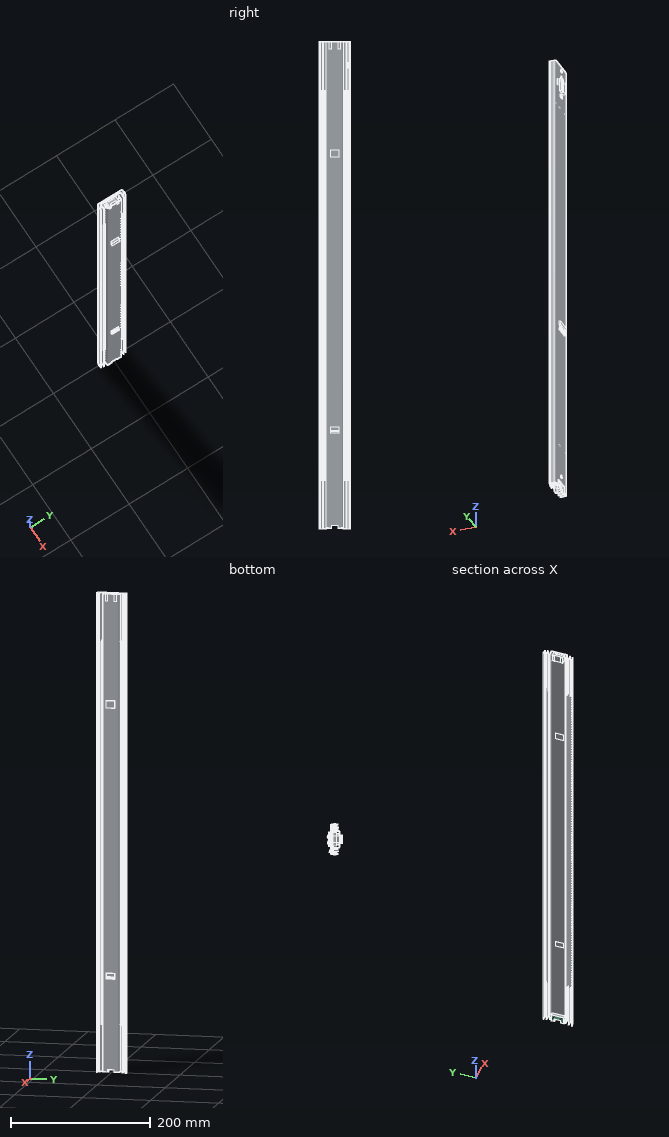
import cadquery as cq


LENGTH = 700.0
WIDTH = 45.0
THICKNESS = 22.0
TOP_Z = LENGTH / 2
BOTTOM_Z = -LENGTH / 2
SHEET = 1.05
CORNER_RADIUS = 1.95

RIB_HEIGHT = 1.0
RIB_HALF_WIDTH = 3.0

OUTER_WEB_X = -6.0
OUTER_LIP_X = 4.55
OUTER_HALF_WIDTH = WIDTH / 2 - RIB_HEIGHT

MIDDLE_WEB_X = -3.85
MIDDLE_LIP_X = 5.5
MIDDLE_HALF_WIDTH = 17.5
MIDDLE_BOTTOM_Z = BOTTOM_Z + 1.0
MIDDLE_SLOT_TOP_Z = BOTTOM_Z + 8.0
MIDDLE_RECESS_WIDTH = 21.0

INNER_WEB_X = SHEET - OUTER_WEB_X
INNER_LIP_X = -1.0
INNER_HALF_WIDTH = 12.5
INNER_BOTTOM_Z = BOTTOM_Z + 1.75

CAGE_SHEET = 0.55
CAGE_RADIUS = 1.05
CAGE_HALF_LENGTH = 280.0
OUTER_CAGE_WEB_X = -4.75
OUTER_CAGE_LIP_X = 3.5
OUTER_CAGE_HALF_WIDTH = 19.5
INNER_CAGE_WEB_X = -2.0
INNER_CAGE_LIP_X = 5.0
INNER_CAGE_HALF_WIDTH = 15.0

UPPER_HOLES = [(343.0, 5.5), (331.0, 6.0)]
HOLE_BORE = 3.5
LOWER_HOLE = (-330.0, 5.5)
WINDOW_WIDTH = 7.0
WINDOW_TOP_Z = 303.0
WINDOW_BOTTOM_Z = 299.0
OUTER_NOTCH_WIDTH = 24.0
OUTER_NOTCH_DEPTH = 10.0

CATCH_BOTTOM_Z = 306.5

NEAR_CATCH_TOP_Z = 323.5
NEAR_CATCH_HIGH_Y = 1.05
NEAR_CATCH_PEAK_Y = -3.15
NEAR_CATCH_LOW_Y = -6.0
NEAR_CATCH_START_X = -8.5
NEAR_CATCH_REACH_X = -THICKNESS / 2
NEAR_CATCH_END_X = -10.0

FAR_CATCH_TOP_Z = 326.0
FAR_CATCH_HIGH_Y = 8.0
FAR_CATCH_PEAK_Y = 6.0
FAR_CATCH_LOW_Y = 2.0
FAR_CATCH_START_X = -9.0
FAR_CATCH_REACH_X = -10.5
FAR_CATCH_END_X = -10.0

CATCH_GROOVE_Z = 321.0
CATCH_GROOVE_HEIGHT = 2.0
CATCH_GROOVE_FLOOR_X = -8.5

BUMP_BOTTOM_Z = 312.0
BUMP_TOP_Z = 320.0
BUMP_HIGH_Y = 19.0
BUMP_LOW_Y = 15.0
BUMP_HEIGHT = 1.75
BUMP_LOW_HEIGHT = 0.55

HOOK_WIDTH = 21.0
HOOK_REACH_X = -9.0
UPPER_HOOK_TOP_Z = -77.0
UPPER_HOOK_HEIGHT = 5.25
UPPER_HOOK_RADIUS = 1.05
UPPER_HOOK_SLOPE = 0.55
LOWER_HOOK_TOP_Z = -85.0
LOWER_HOOK_BOTTOM_Z = -91.0
LOWER_HOOK_TOP_X = -8.0
LOWER_STEM_TOP_Z = -89.0
LOWER_STEM_BOTTOM_Z = -90.0
HOOK_SHEET = 0.85

LUG_WIDTH = 12.5
LUG_REACH_X = THICKNESS / 2
UPPER_LUG_TOP_Z = 194.5
UPPER_LUG_BOTTOM_Z = 184.0
LOWER_LUG_TOP_Z = -204.0
LOWER_LUG_BOTTOM_Z = -212.0
LOWER_LUG_X = 9.0
NIB_TOP_Z = -208.5
NIB_BOTTOM_Z = -210.0

TOP_STOP_HEIGHT = 10.5
TOP_STOP_WIDTH = 16.0
TOP_STOP_HALF_WIDTH = TOP_STOP_WIDTH / 2
TOP_STOP_LEG = 3.5
TOP_STOP_BAR_X = (-1.0, 3.5)
BOTTOM_STOP_HALF_WIDTH = 10.0
BOTTOM_STOP_X = 3.0
BOTTOM_STOP_BOTTOM_Z = BOTTOM_Z + 1.0
BOTTOM_STOP_TOP_Z = BOTTOM_Z + 12.5
END_SLOT_WIDTH = 9.0
END_SLOT_TOP_Z = BOTTOM_Z + 5.0


def block(x_range, y_range, z_range):
    """Box between two limits along each axis."""
    x0, x1 = sorted(x_range)
    y0, y1 = sorted(y_range)
    z0, z1 = sorted(z_range)
    return cq.Workplane("XY").box(x1 - x0, y1 - y0, z1 - z0, centered=False).translate((x0, y0, z0))


def channel(web_x, lip_x, half_width, sheet, radius, z_range):
    """U-channel with its web at web_x and rounded outside and inside bends."""
    inward = 1 if lip_x > web_x else -1
    web_edges = "|Z and <X" if inward > 0 else "|Z and >X"
    outside = block((web_x, lip_x), (-half_width, half_width), z_range).edges(web_edges).fillet(radius)
    inner_half = half_width - sheet
    hollow = block((web_x + inward * sheet, lip_x), (-inner_half, inner_half), z_range)
    hollow = hollow.edges(web_edges).fillet(radius - sheet)
    return outside.cut(hollow)


def race_rib(side, base_y):
    """Shallow circular-segment bar along the rail, bulging outward from the plane at base_y."""
    return (
        cq.Workplane("XY", origin=(0, 0, BOTTOM_Z))
        .moveTo(-RIB_HALF_WIDTH, side * base_y)
        .threePointArc((0, side * (base_y + RIB_HEIGHT)), (RIB_HALF_WIDTH, side * base_y))
        .close()
        .extrude(LENGTH)
    )


def plan_prism(points, z_range):
    """Prism along Z from an outline in X and Y."""
    bottom, top = z_range
    return cq.Workplane("XY", origin=(0, 0, bottom)).polyline(points).close().extrude(top - bottom)


def side_prism(points, width):
    """Prism centred on Y = 0 from an outline in X and Z."""
    return cq.Workplane("XZ").polyline(points).close().extrude(width / 2, both=True)


def mounting_hole(z, diameter):
    """Countersunk cutter through the outer web."""
    mouth = cq.Workplane("YZ", origin=(OUTER_WEB_X, 0, z)).circle(diameter / 2)
    return mouth.workplane(offset=SHEET).circle(HOLE_BORE / 2).loft()


def end_slot(x_range, top_z):
    """Cutter for the slot at the bottom end."""
    return block(x_range, (-END_SLOT_WIDTH / 2, END_SLOT_WIDTH / 2), (BOTTOM_Z, top_z))


def upper_catches():
    """Pair of sloped catches, the +Y one with a grooved hook tip."""
    near = plan_prism(
        [
            (OUTER_WEB_X, NEAR_CATCH_HIGH_Y),
            (NEAR_CATCH_START_X, NEAR_CATCH_HIGH_Y),
            (NEAR_CATCH_REACH_X, NEAR_CATCH_PEAK_Y),
            (NEAR_CATCH_END_X, NEAR_CATCH_LOW_Y),
            (OUTER_WEB_X, NEAR_CATCH_LOW_Y),
        ],
        (CATCH_BOTTOM_Z, NEAR_CATCH_TOP_Z),
    )
    far = plan_prism(
        [
            (OUTER_WEB_X, FAR_CATCH_HIGH_Y),
            (FAR_CATCH_START_X, FAR_CATCH_HIGH_Y),
            (FAR_CATCH_REACH_X, FAR_CATCH_PEAK_Y),
            (FAR_CATCH_END_X, FAR_CATCH_LOW_Y),
            (OUTER_WEB_X, FAR_CATCH_LOW_Y),
        ],
        (CATCH_BOTTOM_Z, FAR_CATCH_TOP_Z),
    )
    groove = block(
        (FAR_CATCH_REACH_X, CATCH_GROOVE_FLOOR_X),
        (FAR_CATCH_LOW_Y, FAR_CATCH_HIGH_Y),
        (CATCH_GROOVE_Z, CATCH_GROOVE_Z + CATCH_GROOVE_HEIGHT),
    )
    return near.union(far.cut(groove))


def edge_bump():
    """Small sloped bump near the +Y edge of the outer web."""
    outline = [
        (OUTER_WEB_X, BUMP_HIGH_Y),
        (OUTER_WEB_X - BUMP_HEIGHT, BUMP_HIGH_Y),
        (OUTER_WEB_X - BUMP_LOW_HEIGHT, BUMP_LOW_Y),
        (OUTER_WEB_X, BUMP_LOW_Y),
    ]
    return plan_prism(outline, (BUMP_BOTTOM_Z, BUMP_TOP_Z))


def middle_hooks():
    """Ledge and L-shaped hook bent out of the outer web below mid-length."""
    ledge = side_prism(
        [
            (OUTER_WEB_X, UPPER_HOOK_TOP_Z),
            (HOOK_REACH_X, UPPER_HOOK_TOP_Z),
            (HOOK_REACH_X + UPPER_HOOK_SLOPE, UPPER_HOOK_TOP_Z - UPPER_HOOK_HEIGHT),
            (OUTER_WEB_X, UPPER_HOOK_TOP_Z - UPPER_HOOK_HEIGHT),
        ],
        HOOK_WIDTH,
    )
    ledge = ledge.edges("|Y and <X").fillet(UPPER_HOOK_RADIUS)
    plate = side_prism(
        [
            (LOWER_HOOK_TOP_X, LOWER_HOOK_TOP_Z),
            (HOOK_REACH_X, LOWER_HOOK_BOTTOM_Z),
            (HOOK_REACH_X + HOOK_SHEET, LOWER_HOOK_BOTTOM_Z),
            (LOWER_HOOK_TOP_X + HOOK_SHEET, LOWER_HOOK_TOP_Z),
        ],
        HOOK_WIDTH,
    )
    stem = block(
        (HOOK_REACH_X + HOOK_SHEET, OUTER_WEB_X),
        (-HOOK_WIDTH / 2, HOOK_WIDTH / 2),
        (LOWER_STEM_BOTTOM_Z, LOWER_STEM_TOP_Z),
    )
    return ledge.union(plate.union(stem))


def make_outer_rail():
    rail = channel(
        OUTER_WEB_X, OUTER_LIP_X, OUTER_HALF_WIDTH, SHEET, CORNER_RADIUS, (BOTTOM_Z, TOP_Z)
    )
    for side in (-1, 1):
        rail = rail.union(race_rib(side, OUTER_HALF_WIDTH))
        rail = rail.cut(race_rib(side, OUTER_HALF_WIDTH - SHEET))
    for z, diameter in UPPER_HOLES + [LOWER_HOLE]:
        rail = rail.cut(mounting_hole(z, diameter))
    web = (OUTER_WEB_X, OUTER_WEB_X + SHEET)
    rail = rail.cut(block(web, (-WINDOW_WIDTH / 2, WINDOW_WIDTH / 2), (WINDOW_BOTTOM_Z, WINDOW_TOP_Z)))
    notch_half = OUTER_NOTCH_WIDTH / 2
    rail = rail.cut(block(web, (-notch_half, notch_half), (BOTTOM_Z, BOTTOM_Z + OUTER_NOTCH_DEPTH)))
    return rail.union(upper_catches()).union(edge_bump()).union(middle_hooks())


def make_middle_rail():
    rail = channel(
        MIDDLE_WEB_X, MIDDLE_LIP_X, MIDDLE_HALF_WIDTH, SHEET, CORNER_RADIUS, (MIDDLE_BOTTOM_Z, TOP_Z)
    )
    web = (MIDDLE_WEB_X, MIDDLE_WEB_X + SHEET)
    recess_half = MIDDLE_RECESS_WIDTH / 2
    rail = rail.cut(block(web, (-recess_half, recess_half), (BOTTOM_Z, END_SLOT_TOP_Z)))
    return rail.cut(end_slot(web, MIDDLE_SLOT_TOP_Z))


def make_inner_rail():
    rail = channel(
        INNER_WEB_X, INNER_LIP_X, INNER_HALF_WIDTH, SHEET, CORNER_RADIUS, (INNER_BOTTOM_Z, TOP_Z)
    )
    rail = rail.cut(end_slot((INNER_WEB_X - SHEET, INNER_WEB_X), END_SLOT_TOP_Z))
    lug_y = (-LUG_WIDTH / 2, LUG_WIDTH / 2)
    upper_lug = block((INNER_WEB_X, LUG_REACH_X), lug_y, (UPPER_LUG_BOTTOM_Z, UPPER_LUG_TOP_Z))
    lower_lug = block((INNER_WEB_X, LOWER_LUG_X), lug_y, (LOWER_LUG_BOTTOM_Z, LOWER_LUG_TOP_Z))
    nib = block((LOWER_LUG_X, LUG_REACH_X), lug_y, (NIB_BOTTOM_Z, NIB_TOP_Z))
    return rail.union(upper_lug).union(lower_lug.union(nib))


def make_cage(web_x, lip_x, half_width):
    z_range = (-CAGE_HALF_LENGTH, CAGE_HALF_LENGTH)
    return channel(web_x, lip_x, half_width, CAGE_SHEET, CAGE_RADIUS, z_range)


def make_top_stop():
    """H-shaped stop between the middle and inner webs, flush with the top end."""
    z_range = (TOP_Z - TOP_STOP_HEIGHT, TOP_Z)
    stop = block(TOP_STOP_BAR_X, (-TOP_STOP_HALF_WIDTH, TOP_STOP_HALF_WIDTH), z_range)
    leg_x = (MIDDLE_WEB_X + SHEET, INNER_WEB_X - SHEET)
    for side in (-1, 1):
        leg_y = (side * (TOP_STOP_HALF_WIDTH - TOP_STOP_LEG), side * TOP_STOP_HALF_WIDTH)
        stop = stop.union(block(leg_x, leg_y, z_range))
    return stop


def make_bottom_stop():
    """Slotted block on the middle web, with two feet showing in the recess of that web."""
    x_range = (MIDDLE_WEB_X + SHEET, BOTTOM_STOP_X)
    stop = block(
        x_range,
        (-BOTTOM_STOP_HALF_WIDTH, BOTTOM_STOP_HALF_WIDTH),
        (BOTTOM_STOP_BOTTOM_Z, BOTTOM_STOP_TOP_Z),
    )
    return stop.cut(end_slot(x_range, END_SLOT_TOP_Z))


outer_rail = make_outer_rail()
middle_rail = make_middle_rail()
inner_rail = make_inner_rail()
outer_cage = make_cage(OUTER_CAGE_WEB_X, OUTER_CAGE_LIP_X, OUTER_CAGE_HALF_WIDTH)
inner_cage = make_cage(INNER_CAGE_WEB_X, INNER_CAGE_LIP_X, INNER_CAGE_HALF_WIDTH)
top_stop = make_top_stop()
bottom_stop = make_bottom_stop()

result = cq.Compound.makeCompound([
    outer_rail.val(),
    middle_rail.val(),
    inner_rail.val(),
    outer_cage.val(),
    inner_cage.val(),
    top_stop.val(),
    bottom_stop.val(),
])